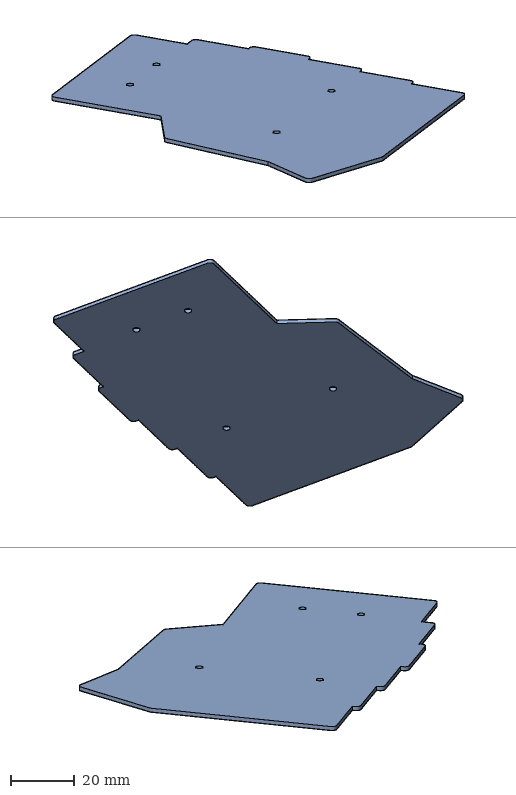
import cadquery as cq
import math

length = 116.1
width = 94.29
thickness = 1.35

key_pitch = 19.05
stagger = key_pitch / 8
columns = 6
rows = 3
margin = length - columns * key_pitch
corner_radius = 1.5

notch_x = 38.5
wrist_x = 47.8
wrist_y = 11.7
thumb_angle = math.radians(24.5)
thumb_side_y = 26.9
thumb_front_length = 19.7

hole_diameter = 2.2
left_hole_x = 18.1
left_hole_y = 48.15
right_hole_x = 77.1
right_hole_y = 31.55
right_hole_spacing = 39.25

back_y = width
base_back_y = back_y - 3 * stagger
front_y = base_back_y - rows * key_pitch - margin

first_step_x = key_pitch
second_step_x = 2 * key_pitch
third_step_x = 3 * key_pitch + margin
fourth_step_x = third_step_x + key_pitch
fifth_step_x = fourth_step_x + key_pitch

thumb_tip_y = corner_radius * (1 - math.cos(thumb_angle) - math.sin(thumb_angle))
thumb_tip_x = length - (thumb_side_y - thumb_tip_y) * math.tan(thumb_angle)
thumb_start_x = thumb_tip_x - thumb_front_length * math.cos(thumb_angle)
thumb_start_y = thumb_tip_y + thumb_front_length * math.sin(thumb_angle)

rounded_corners = [
    (0, front_y),
    (0, base_back_y),
    (first_step_x, back_y - stagger),
    (second_step_x, back_y),
    (third_step_x, back_y),
    (fourth_step_x, back_y - stagger),
    (fifth_step_x, back_y - 2 * stagger),
    (length, base_back_y),
    (thumb_tip_x, thumb_tip_y),
    (length, thumb_side_y),
    (wrist_x, wrist_y),
]


def make_plate():
    """Flat plate with a stepped back edge and an angled thumb area."""
    outline = [
        (0, front_y),
        (0, base_back_y),
        (first_step_x, base_back_y),
        (first_step_x, back_y - stagger),
        (second_step_x, back_y - stagger),
        (second_step_x, back_y),
        (third_step_x, back_y),
        (third_step_x, back_y - stagger),
        (fourth_step_x, back_y - stagger),
        (fourth_step_x, back_y - 2 * stagger),
        (fifth_step_x, back_y - 2 * stagger),
        (fifth_step_x, base_back_y),
        (length, base_back_y),
        (length, thumb_side_y),
        (thumb_tip_x, thumb_tip_y),
        (thumb_start_x, thumb_start_y),
        (wrist_x, wrist_y),
        (notch_x, front_y),
    ]
    return cq.Workplane("XY").polyline(outline).close().extrude(thickness)


def round_corners(plate):
    """Round the vertical edges at the chosen corners."""
    half_thickness = thickness / 2
    edges = cq.Workplane("XY")
    for x, y in rounded_corners:
        nearest = cq.selectors.NearestToPointSelector((x, y, half_thickness))
        edges = edges.add(plate.edges("|Z").edges(nearest))
    return plate.newObject(edges.vals()).fillet(corner_radius)


def drill_holes(plate):
    """Drill the four screw holes through the plate."""
    centers = [
        (left_hole_x, left_hole_y),
        (left_hole_x, left_hole_y + key_pitch),
        (right_hole_x, right_hole_y),
        (right_hole_x, right_hole_y + right_hole_spacing),
    ]
    holes = cq.Workplane("XY").pushPoints(centers).circle(hole_diameter / 2).extrude(thickness)
    return plate.cut(holes)


result = drill_holes(round_corners(make_plate()))